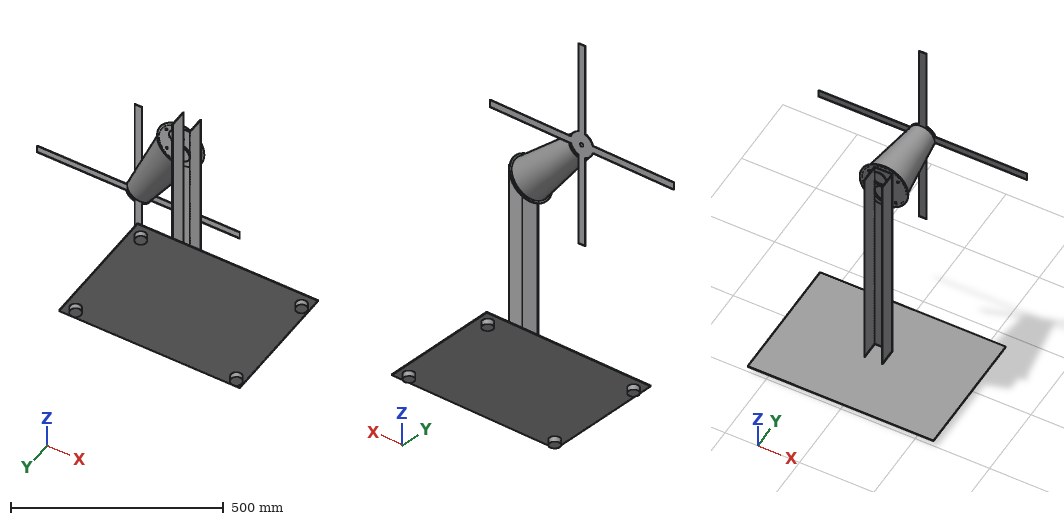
import cadquery as cq

BASE_WIDTH = 499.0
BASE_DEPTH = 350.0
BASE_THICKNESS = 2.95
FOOT_DIAMETER = 30.0
FOOT_HEIGHT = 15.0
FOOT_SPACING_X = 444.5
FOOT_SPACING_Y = 291.0

TOTAL_HEIGHT = 845.0
TOTAL_DEPTH = 400.0
ROTOR_SPAN = 560.0
BLADE_WIDTH = 20.0
BLADE_THICKNESS = 2.0
HUB_DIAMETER = 70.0
SHAFT_DIAMETER = 10.0
SHAFT_LENGTH = 5.0

CONE_LENGTH = 181.0
CONE_REAR_DIAMETER = 70.0
CONE_FRONT_DIAMETER = 118.0
FLANGE_DIAMETER = 130.0
FLANGE_THICKNESS = 2.95

SMALL_OPENING_DIAMETER = 40.0
SMALL_OPENING_CENTER = (-13.0, 19.5)
LARGE_OPENING_DIAMETER = 50.0
LARGE_OPENING_CENTER = (0, -27.0)
SCREW_HOLE_DIAMETER = 5.0
SCREW_HOLE_CENTERS = [(-40.0, 31.0), (38.0, 31.0), (-39.0, -29.0), (32.0, -41.0)]

POST_WIDTH = 50.0
POST_DEPTH = 50.0
POST_HEIGHT = 600.0
POST_WALL = 2.0

BASE_TOP = FOOT_HEIGHT + BASE_THICKNESS
AXIS_HEIGHT = TOTAL_HEIGHT - ROTOR_SPAN / 2
ROTOR_REAR = TOTAL_DEPTH - BASE_DEPTH / 2
ROTOR_FRONT = ROTOR_REAR - BLADE_THICKNESS
CONE_REAR = ROTOR_FRONT - SHAFT_LENGTH
FLANGE_REAR = CONE_REAR - CONE_LENGTH
FLANGE_FRONT = FLANGE_REAR - FLANGE_THICKNESS


def axis_plane(y):
    """Plane across the rotor axis at the given Y, with its normal toward -Y."""
    return cq.Workplane("XZ", origin=(0, y, AXIS_HEIGHT))


def make_openings(rear, depth):
    """Cutter for the small and the large opening, reaching from the rear Y toward -Y."""
    plane = axis_plane(rear)
    small = plane.center(*SMALL_OPENING_CENTER).circle(SMALL_OPENING_DIAMETER / 2).extrude(depth)
    large = plane.center(*LARGE_OPENING_CENTER).circle(LARGE_OPENING_DIAMETER / 2).extrude(depth)
    return small.union(large)


def make_base():
    base = cq.Workplane("XY", origin=(0, 0, FOOT_HEIGHT))
    return base.rect(BASE_WIDTH, BASE_DEPTH).extrude(BASE_THICKNESS)


def make_foot(x, y):
    return cq.Workplane("XY").center(x, y).circle(FOOT_DIAMETER / 2).extrude(FOOT_HEIGHT)


def make_post():
    bottom = cq.Workplane("XY", origin=(0, FLANGE_FRONT, BASE_TOP))
    block = bottom.center(0, -POST_DEPTH / 2).rect(POST_WIDTH, POST_DEPTH).extrude(POST_HEIGHT)
    channel = (
        bottom.center(0, -POST_WALL - POST_DEPTH / 2)
        .rect(POST_WIDTH - 2 * POST_WALL, POST_DEPTH)
        .extrude(POST_HEIGHT)
    )
    return block.cut(channel).cut(make_openings(FLANGE_FRONT, POST_WALL))


def make_housing():
    profile = [
        (0, FLANGE_FRONT),
        (FLANGE_DIAMETER / 2, FLANGE_FRONT),
        (FLANGE_DIAMETER / 2, FLANGE_REAR),
        (CONE_FRONT_DIAMETER / 2, FLANGE_REAR),
        (CONE_REAR_DIAMETER / 2, CONE_REAR),
        (0, CONE_REAR),
    ]
    housing = (
        cq.Workplane("XY", origin=(0, 0, AXIS_HEIGHT))
        .polyline(profile)
        .close()
        .revolve(360, (0, 0), (0, 1))
    )
    screw_holes = (
        axis_plane(FLANGE_REAR)
        .pushPoints(SCREW_HOLE_CENTERS)
        .circle(SCREW_HOLE_DIAMETER / 2)
        .extrude(FLANGE_THICKNESS)
    )
    return housing.cut(screw_holes).cut(make_openings(FLANGE_REAR, FLANGE_THICKNESS))


def make_rotor():
    plane = axis_plane(ROTOR_REAR)
    level_blade = plane.rect(ROTOR_SPAN, BLADE_WIDTH).extrude(BLADE_THICKNESS)
    upright_blade = plane.rect(BLADE_WIDTH, ROTOR_SPAN).extrude(BLADE_THICKNESS)
    hub = plane.circle(HUB_DIAMETER / 2).extrude(BLADE_THICKNESS)
    shaft = axis_plane(ROTOR_FRONT).circle(SHAFT_DIAMETER / 2).extrude(SHAFT_LENGTH)
    return level_blade.union(upright_blade).union(hub).union(shaft)


base = make_base()
post = make_post()
housing = make_housing()
rotor = make_rotor()
feet = [
    make_foot(side_x * FOOT_SPACING_X / 2, side_y * FOOT_SPACING_Y / 2)
    for side_x in (-1, 1)
    for side_y in (-1, 1)
]

result = cq.Compound.makeCompound(
    [base.val(), post.val(), housing.val(), rotor.val(), *[foot.val() for foot in feet]]
)